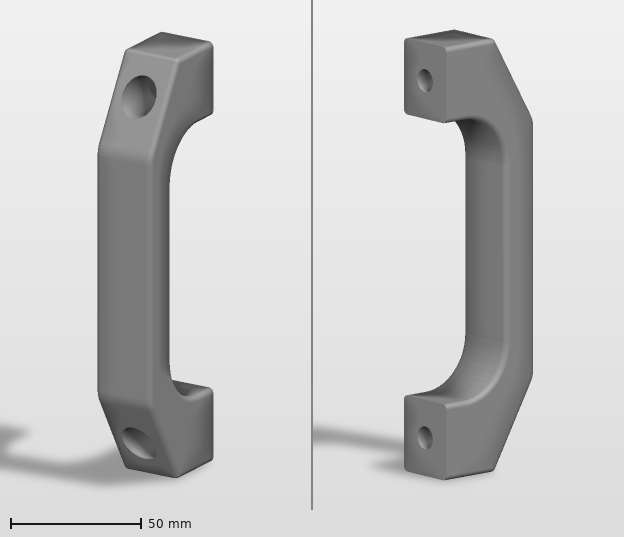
import cadquery as cq
import math

length = 170.0
width = 25.0
depth = 45.0

foot_height = 30.0
grip_thickness = 15.0
opening_radius = 20.0
slope_run = 20.0
slope_angle = 60.0
bend_radius = 10.0
edge_radius = 2.0

hole_spacing = 140.0
hole_diameter = 9.0
counterbore_diameter = 15.0
seat_depth = 30.0

half_length = length / 2
front_y = -depth / 2
back_y = depth / 2
shoulder_y = front_y + slope_run
bend_z = half_length - slope_run * math.tan(math.radians(slope_angle))
opening_half = half_length - foot_height
opening_y = front_y + grip_thickness


def make_body():
    """Bow-shaped handle with rounded bends, corners and side edges."""
    profile = [
        (back_y, half_length),
        (shoulder_y, half_length),
        (front_y, bend_z),
        (front_y, -bend_z),
        (shoulder_y, -half_length),
        (back_y, -half_length),
        (back_y, -opening_half),
        (opening_y, -opening_half),
        (opening_y, opening_half),
        (back_y, opening_half),
    ]
    body = cq.Workplane("YZ").polyline(profile).close().extrude(width / 2, both=True)

    corner_rounds = [
        (opening_y, opening_half, opening_radius),
        (front_y, bend_z, bend_radius),
        (shoulder_y, half_length, edge_radius),
    ]
    for y, z, radius in corner_rounds:
        for side in (1, -1):
            corner = cq.selectors.NearestToPointSelector((0, y, side * z))
            body = body.edges("|X").edges(corner).fillet(radius)

    side_outlines = body.faces("<X or >X").edges()
    mounting_edges = body.faces(">Y").edges()
    return side_outlines.newObject(
        [e for e in side_outlines.vals() if not any(e.isSame(m) for m in mounting_edges.vals())]
    ).fillet(edge_radius)


def make_screw_hole(z):
    """Through hole along Y with a counterbore entering from the sloped face."""
    axis = cq.Vector(0, 1, 0)
    start = cq.Vector(0, front_y, z)
    hole = cq.Solid.makeCylinder(hole_diameter / 2, depth, start, axis)
    counterbore = cq.Solid.makeCylinder(counterbore_diameter / 2, seat_depth, start, axis)
    return cq.Workplane(obj=hole).union(cq.Workplane(obj=counterbore))


result = make_body()
for hole_z in (hole_spacing / 2, -hole_spacing / 2):
    result = result.cut(make_screw_hole(hole_z))